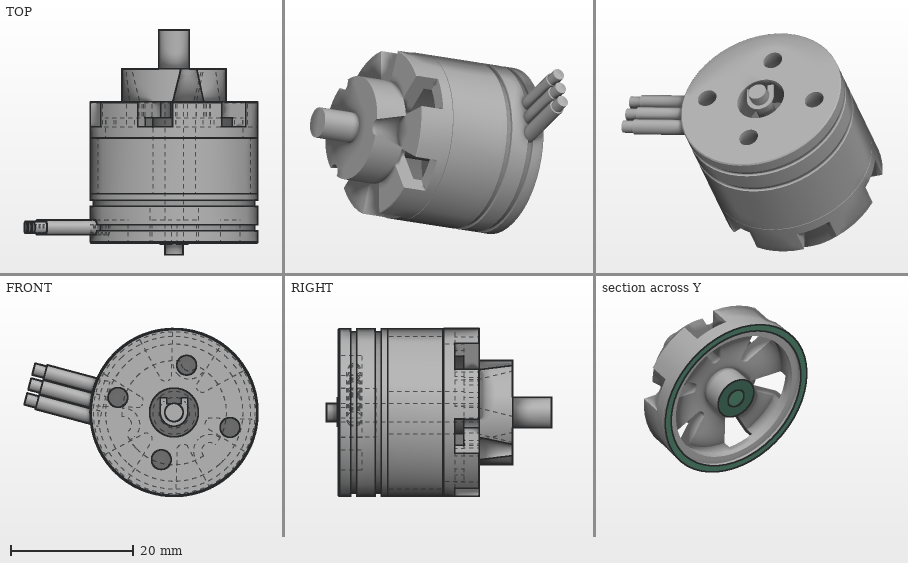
import cadquery as cq
import math


OVERALL_WIDTH = 38.3

SHAFT_FRONT = -1.95
CLIP_FRONT = -0.2
BASE_BACK = 8.1
CAP_FRONT = 17.12
SLOT_FLOOR = 19.05
ROOF_FRONT = 20.53
CAP_BACK = 23.1
HUB_BACK = 28.55
PROP_SHAFT_BACK = 34.9

BODY_DIAMETER = 27.5
BASE_CHAMFER = 0.2
GROOVE_DIAMETER = 26.5
GROOVE_WIDTH = 1.0
WIRE_GROOVE_START = 2.0
REAR_GROOVE_START = 6.0
CENTER_HOLE_DIAMETER = 8.0
CENTER_HOLE_DEPTH = 6.13
MOUNT_HOLE_DIAMETER = 3.2
MOUNT_HOLE_DEPTH = 3.83
MOUNT_RADIUS_SMALL = 8.0
MOUNT_RADIUS_LARGE = 9.5
MOUNT_TILT = 15

CAN_BORE = 25.0
CAP_BORE = 22.5
CAP_CHAMFER = 0.1
BOSS_DIAMETER = 7.0
SLOT_COUNT = 6
SLOT_ANGLE = 103.2
SLOT_TAPER = 30
SLOT_APEX_RADIUS = 2.6
SLOT_WALL_START = 3.25
SLOT_END_DIAMETER = 2.1

HUB_DIAMETER = 17.1
PROP_SHAFT_DIAMETER = 5.0
NOTCH_COUNT = 3
NOTCH_ANGLE = SLOT_ANGLE - 180 / SLOT_COUNT
NOTCH_FRONT_RADIUS = 2.7
NOTCH_BACK_RADIUS = 1.35

SHAFT_DIAMETER = 3.0
CLIP_RADIUS = 2.25
CLIP_TOP = 2.4
CLIP_MOUTH_WIDTH = 2.45
CLIP_MOUTH_FLOOR = 1.4

WIRE_POSITIONS = (-1, 0, 1)
WIRE_ANGLE = 165
WIRE_PITCH = 2.53
WIRE_ROW_OFFSET = 1.6
WIRE_DIAMETER = 2.5
WIRE_CORE_DIAMETER = 2.0
WIRE_CORE_LENGTH = 2.0
WIRE_INNER_END = 11.5
WIRE_LEVEL = 2.55

BODY_RADIUS = BODY_DIAMETER / 2


def polar(radius, angle):
    """X and Z of a point at a radius and an angle, in degrees from +X toward +Z."""
    turn = math.radians(angle)
    return radius * math.cos(turn), radius * math.sin(turn)


def section_at(y):
    """Sketch plane across the motor axis; a negative extrusion from it runs toward +Y."""
    return cq.Workplane("XZ", origin=(0, y, 0))


def disc(diameter, front, back):
    return section_at(front).circle(diameter / 2).extrude(front - back)


def ring(outer_diameter, inner_diameter, front, back):
    return disc(outer_diameter, front, back).cut(disc(inner_diameter, front, back))


def turned_about_axis(shape, angle):
    """Turn a shape about the motor axis by an angle from +X toward +Z."""
    return shape.rotate((0, 0, 0), (0, -1, 0), angle)


def wire_tip_distance():
    """Distance of the wire tips along the wires that gives the overall width."""
    lowest_edge = WIRE_ROW_OFFSET + WIRE_PITCH + WIRE_CORE_DIAMETER / 2
    along_x, _ = polar(1, WIRE_ANGLE)
    side_x, _ = polar(lowest_edge, WIRE_ANGLE + 90)
    return (BODY_RADIUS - OVERALL_WIDTH - side_x) / along_x


WIRE_TIP = wire_tip_distance()


def wire_cylinder(position, diameter, start, end):
    """Round length of a wire, between two distances along the wire direction."""
    along_x, along_z = polar(1, WIRE_ANGLE)
    side_x, side_z = polar(WIRE_ROW_OFFSET + position * WIRE_PITCH, WIRE_ANGLE + 90)
    plane = cq.Plane(
        origin=(start * along_x + side_x, WIRE_LEVEL, start * along_z + side_z),
        xDir=(0, 1, 0),
        normal=(along_x, 0, along_z),
    )
    return cq.Workplane(plane).circle(diameter / 2).extrude(end - start)


def make_wire(position):
    sleeve_end = WIRE_TIP - WIRE_CORE_LENGTH
    sleeve = wire_cylinder(position, WIRE_DIAMETER, WIRE_INNER_END, sleeve_end)
    core = wire_cylinder(position, WIRE_CORE_DIAMETER, sleeve_end, WIRE_TIP)
    return sleeve.union(core)


def mount_holes():
    points = []
    for half_turn in (0, 180):
        points.append(polar(MOUNT_RADIUS_LARGE, half_turn - MOUNT_TILT))
        points.append(polar(MOUNT_RADIUS_SMALL, half_turn + 90 - MOUNT_TILT))
    return section_at(0).pushPoints(points).circle(MOUNT_HOLE_DIAMETER / 2).extrude(-MOUNT_HOLE_DEPTH)


def make_base():
    base = disc(BODY_DIAMETER, 0, BASE_BACK).faces("<Y").chamfer(BASE_CHAMFER)
    for start in (WIRE_GROOVE_START, REAR_GROOVE_START):
        base = base.cut(ring(BODY_DIAMETER, GROOVE_DIAMETER, start, start + GROOVE_WIDTH))
    base = base.cut(disc(CENTER_HOLE_DIAMETER, 0, CENTER_HOLE_DEPTH))
    base = base.cut(disc(SHAFT_DIAMETER, 0, BASE_BACK))
    base = base.cut(mount_holes())
    for position in WIRE_POSITIONS:
        base = base.cut(wire_cylinder(position, WIRE_DIAMETER, WIRE_INNER_END, WIRE_TIP))
    return base


def make_can():
    return ring(BODY_DIAMETER, CAN_BORE, BASE_BACK, CAP_FRONT)


def slot_cutter():
    """Wedge slot along +X with an arched inner end."""
    half_taper = SLOT_TAPER / 2
    wall_x, wall_z = polar(SLOT_WALL_START, half_taper)
    rim_x, rim_z = polar(BODY_RADIUS, half_taper)
    end_radius = SLOT_END_DIAMETER / 2
    end_depth = end_radius - math.sqrt(end_radius**2 - wall_z**2)
    return (
        section_at(SLOT_FLOOR)
        .moveTo(SLOT_APEX_RADIUS + rim_x, -rim_z)
        .lineTo(SLOT_APEX_RADIUS + wall_x, -wall_z)
        .threePointArc(
            (SLOT_APEX_RADIUS + wall_x - end_depth, 0),
            (SLOT_APEX_RADIUS + wall_x, wall_z),
        )
        .lineTo(SLOT_APEX_RADIUS + rim_x, rim_z)
        .close()
        .extrude(SLOT_FLOOR - CAP_BACK)
    )


def make_cap():
    cap = disc(BODY_DIAMETER, CAP_FRONT, CAP_BACK).faces("<Y or >Y").chamfer(CAP_CHAMFER)
    cap = cap.cut(ring(CAP_BORE, BOSS_DIAMETER, CAP_FRONT, ROOF_FRONT))
    cap = cap.union(disc(BOSS_DIAMETER, BASE_BACK, ROOF_FRONT))
    cap = cap.cut(disc(SHAFT_DIAMETER, BASE_BACK, CAP_BACK))
    for index in range(SLOT_COUNT):
        cap = cap.cut(turned_about_axis(slot_cutter(), SLOT_ANGLE + index * 360 / SLOT_COUNT))
    return cap


def notch_cutter(angle):
    """Cone centered on the hub's edge, wider toward the cap."""
    x, z = polar(HUB_DIAMETER / 2, angle)
    cone = cq.Solid.makeCone(
        NOTCH_FRONT_RADIUS,
        NOTCH_BACK_RADIUS,
        HUB_BACK - CAP_BACK,
        pnt=cq.Vector(x, CAP_BACK, z),
        dir=cq.Vector(0, 1, 0),
    )
    return cq.Workplane(cone)


def make_adapter():
    adapter = disc(HUB_DIAMETER, CAP_BACK, HUB_BACK)
    for index in range(NOTCH_COUNT):
        adapter = adapter.cut(notch_cutter(NOTCH_ANGLE + index * 360 / NOTCH_COUNT))
    return adapter.union(disc(PROP_SHAFT_DIAMETER, HUB_BACK, PROP_SHAFT_BACK))


def make_shaft():
    return disc(SHAFT_DIAMETER, SHAFT_FRONT, CAP_BACK)


def make_clip():
    """U-shaped plate around the shaft, open toward +Z."""
    half_mouth = CLIP_MOUTH_WIDTH / 2
    outline = (
        section_at(CLIP_FRONT)
        .moveTo(-CLIP_RADIUS, 0)
        .threePointArc((0, -CLIP_RADIUS), (CLIP_RADIUS, 0))
        .lineTo(CLIP_RADIUS, CLIP_TOP)
        .lineTo(half_mouth, CLIP_TOP)
        .lineTo(half_mouth, CLIP_MOUTH_FLOOR)
        .lineTo(-half_mouth, CLIP_MOUTH_FLOOR)
        .lineTo(-half_mouth, CLIP_TOP)
        .lineTo(-CLIP_RADIUS, CLIP_TOP)
        .close()
    )
    return outline.extrude(CLIP_FRONT).cut(disc(SHAFT_DIAMETER, CLIP_FRONT, 0))


bodies = [make_base(), make_can(), make_cap(), make_adapter(), make_shaft(), make_clip()]
for position in WIRE_POSITIONS:
    bodies.append(make_wire(position))

result = cq.Compound.makeCompound([body.solids().val() for body in bodies])